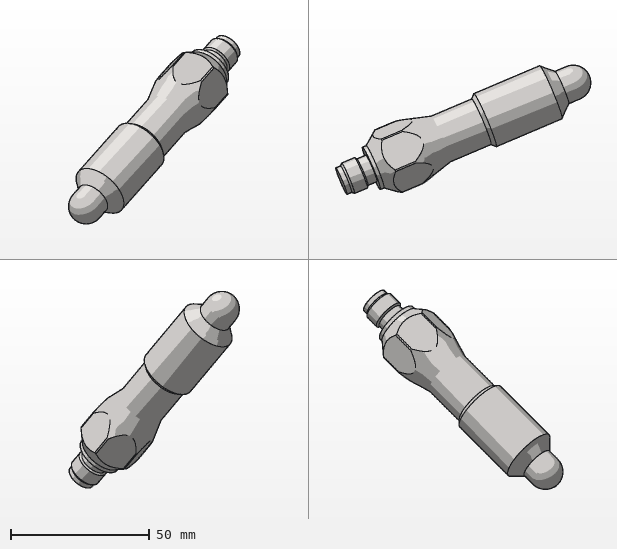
import cadquery as cq
import math

length = 97.75
hex_corner_diameter = 25.0
hex_across_flats = 22.0
stub_diameter = 10.5
ring_diameter = 12.0
flange_diameter = 16.7
neck_diameter = 18.0
barrel_diameter = 20.9
tip_diameter = 12.8

ring_start = 1.9
ring_full = 2.6
ring_taper = 7.7
ring_end = 8.3
flange_start = 11.8
flange_end = 13.3
hex_full = 18.6
hex_taper = 26.7
neck_start = 39.2
neck_end = 55.1
barrel_chamfer = (barrel_diameter - neck_diameter) / 2
barrel_end = 84.0
tip_start = 86.9
dome_start = length - tip_diameter / 2


def profile_point(diameter, station):
    """Half-profile point (X, Y) at a distance from the connector end."""
    return diameter / 2, length / 2 - station


def turned_section(stations):
    """Revolve a chain of straight (diameter, station) points about Y."""
    first_station = stations[0][1]
    last_station = stations[-1][1]
    points = [profile_point(0, first_station)]
    points += [profile_point(diameter, station) for diameter, station in stations]
    points.append(profile_point(0, last_station))
    return cq.Workplane("XY").polyline(points).close().revolve(360, (0, 0, 0), (0, 1, 0))


def connector():
    """Plain stub with a chamfered ring."""
    return turned_section([
        (stub_diameter, 0),
        (stub_diameter, ring_start),
        (ring_diameter, ring_full),
        (ring_diameter, ring_taper),
        (stub_diameter, ring_end),
        (stub_diameter, flange_start),
    ])


def hex_grip():
    """Double-cone collar trimmed by a hexagonal prism with flats facing Z."""
    collar = turned_section([
        (flange_diameter, flange_start),
        (flange_diameter, flange_end),
        (hex_corner_diameter, hex_full),
        (hex_corner_diameter, hex_taper),
        (neck_diameter, neck_start),
    ])
    prism_corner_diameter = hex_across_flats / math.cos(math.pi / 6)
    prism = (
        cq.Workplane("XZ")
        .polygon(6, prism_corner_diameter)
        .extrude(length / 2, both=True)
    )
    return collar.intersect(prism)


def neck_and_barrel():
    """Plain neck and the wider barrel that narrows towards the tip."""
    return turned_section([
        (neck_diameter, neck_start),
        (neck_diameter, neck_end),
        (barrel_diameter, neck_end + barrel_chamfer),
        (barrel_diameter, barrel_end - barrel_chamfer),
        (neck_diameter, barrel_end),
        (tip_diameter, tip_start),
        (tip_diameter, dome_start),
    ])


def dome():
    """Hemispherical tip."""
    radius = tip_diameter / 2
    centre_y = length / 2 - dome_start
    arc_offset = radius * math.sqrt(0.5)
    return (
        cq.Workplane("XY")
        .moveTo(0, centre_y)
        .lineTo(radius, centre_y)
        .threePointArc((arc_offset, centre_y - arc_offset), (0, -length / 2))
        .close()
        .revolve(360, (0, 0, 0), (0, 1, 0))
    )


result = connector().union(hex_grip()).union(neck_and_barrel()).union(dome())